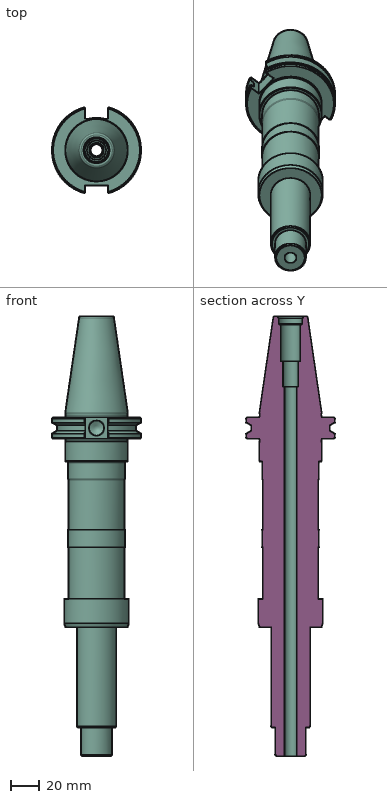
import cadquery as cq
import math

total_length = 311.75

gauge_diameter = 44.45
taper_length = 68.4
taper_ratio = 7 / 24
tip_fillet = 1.4

flange_diameter = 63.28
flange_top = -3.2
flange_thickness = 15.4
flange_chamfer = 1.0
groove_floor_diameter = 56.25
groove_floor_width = 3.75
groove_flank_angle = 30
relief_diameter = 44.0
upper_relief_height = 1.7
lower_relief_cone = 1.6
lower_relief_height = 2.4

slot_width = 16.1
slot_corner_chamfer = 0.74
slot_overcut = 1.0
front_slot_depth_y = 25.0
back_slot_depth_y = 22.4
dimple_diameter = 10.7
dimple_tip_angle = 132

collar_bottom = -34.6
collar_chamfer = 0.4
ring_diameter = 40.5
body_diameter = 40.0
ring_edge_height = 0.8
upper_ring_bottom = -46.7
middle_ring_top = -82.9
middle_ring_bottom = -95.4
head_top = -131.9
head_bottom = -152.0
head_diameter = 46.0
head_chamfer_height = 2.8
head_chamfer_width = 1.0
stem_diameter = 28.0
stem_bottom = -223.0
stem_chamfer = 0.9
nose_diameter = 22.0
nose_chamfer = 1.0

pilot_diameter = 16.5
pilot_mouth_diameter = 18.5
pilot_mouth_depth = 1.7
pilot_depth = 5.6
pilot_seat_height = 0.7
thread_diameter = 13.53
thread_depth = 32.0
step_diameter = 10.5
step_depth = 50.0
through_diameter = 8.35

bottom = taper_length - total_length
flange_bottom = flange_top - flange_thickness
flange_middle = (flange_top + flange_bottom) / 2


def revolve_profile(points):
    """Revolve (diameter, height) points around Z, closed along the axis."""
    outline = [(0, points[0][1])]
    outline += [(diameter / 2, height) for diameter, height in points]
    outline.append((0, points[-1][1]))
    return cq.Workplane("XZ").polyline(outline).close().revolve(360, (0, 0), (0, 1))


def make_taper():
    tip_diameter = gauge_diameter - taper_ratio * taper_length
    taper = revolve_profile([
        (tip_diameter, taper_length),
        (gauge_diameter, 0),
        (relief_diameter, -upper_relief_height),
        (gauge_diameter, flange_top),
        (gauge_diameter, flange_middle),
    ])
    return taper.faces(">Z").edges().fillet(tip_fillet)


def make_flange():
    face_diameter = flange_diameter - 2 * flange_chamfer
    groove_depth = (flange_diameter - groove_floor_diameter) / 2
    floor_half = groove_floor_width / 2
    mouth_half = floor_half + groove_depth * math.tan(math.radians(groove_flank_angle))
    flange = revolve_profile([
        (face_diameter, flange_top),
        (flange_diameter, flange_top - flange_chamfer),
        (flange_diameter, flange_middle + mouth_half),
        (groove_floor_diameter, flange_middle + floor_half),
        (groove_floor_diameter, flange_middle - floor_half),
        (flange_diameter, flange_middle - mouth_half),
        (flange_diameter, flange_bottom + flange_chamfer),
        (face_diameter, flange_bottom),
    ])
    for side, depth in ((-1, front_slot_depth_y), (1, back_slot_depth_y)):
        flange = flange.cut(make_slot(side, depth))
    return flange


def make_slot(side, floor):
    """Cutter for one driving slot; its mouth flares at 45 degrees to chamfer the corners."""
    half = slot_width / 2
    rim_half = half + slot_corner_chamfer
    rim = math.sqrt((flange_diameter / 2) ** 2 - rim_half ** 2)
    outside = flange_diameter / 2 + slot_overcut
    wide_half = rim_half + outside - rim
    right_side = [
        (half, side * floor),
        (half, side * (rim - slot_corner_chamfer)),
        (wide_half, side * outside),
    ]
    left_side = [(-x, y) for x, y in reversed(right_side)]
    outline = cq.Workplane("XY").workplane(offset=flange_bottom)
    outline = outline.polyline(right_side + left_side).close()
    return outline.extrude(flange_thickness)


def make_shank():
    points = [
        (gauge_diameter, flange_middle),
        (gauge_diameter, flange_bottom),
        (relief_diameter, flange_bottom - lower_relief_cone),
        (gauge_diameter, flange_bottom - lower_relief_height),
        (gauge_diameter, collar_bottom + collar_chamfer),
        (gauge_diameter - 2 * collar_chamfer, collar_bottom),
        (body_diameter, collar_bottom),
        (ring_diameter, collar_bottom - ring_edge_height),
        (ring_diameter, upper_ring_bottom),
        (body_diameter, upper_ring_bottom - ring_edge_height),
        (body_diameter, middle_ring_top),
        (ring_diameter, middle_ring_top),
        (ring_diameter, middle_ring_bottom),
        (body_diameter, middle_ring_bottom),
        (body_diameter, head_top),
        (head_diameter, head_top),
        (head_diameter, head_bottom + head_chamfer_height),
        (head_diameter - 2 * head_chamfer_width, head_bottom),
        (stem_diameter, head_bottom),
        (stem_diameter, stem_bottom + stem_chamfer),
        (stem_diameter - 2 * stem_chamfer, stem_bottom),
        (nose_diameter, stem_bottom),
        (nose_diameter, bottom + nose_chamfer),
        (nose_diameter - 2 * nose_chamfer, bottom),
    ]
    return revolve_profile(points)


def make_bore():
    seat_top = taper_length - pilot_depth
    thread_bottom = taper_length - thread_depth
    step_bottom = taper_length - step_depth
    return revolve_profile([
        (pilot_mouth_diameter, taper_length),
        (pilot_diameter, taper_length - pilot_mouth_depth),
        (pilot_diameter, seat_top),
        (thread_diameter, seat_top - pilot_seat_height),
        (thread_diameter, thread_bottom),
        (step_diameter, thread_bottom),
        (step_diameter, step_bottom),
        (through_diameter, step_bottom),
        (through_diameter, bottom),
    ])


def make_dimple():
    radius = dimple_diameter / 2
    depth = radius / math.tan(math.radians(dimple_tip_angle / 2))
    cone = cq.Solid.makeCone(
        radius, 0, depth,
        pnt=cq.Vector(0, -front_slot_depth_y, flange_middle),
        dir=cq.Vector(0, 1, 0),
    )
    return cq.Workplane(obj=cone)


solid_body = make_taper().union(make_flange()).union(make_shank())
result = solid_body.cut(make_bore()).cut(make_dimple())